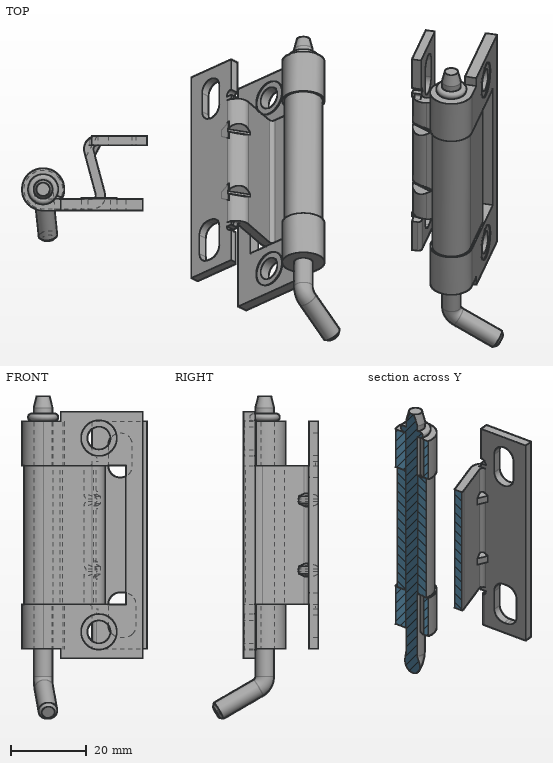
import cadquery as cq
import math


PIN_R = 2.5
PIN_TOP = 36.55
TIP_TOP_R = 1.75
TIP_HEIGHT = 3.0
COLLAR_TUBE_R = 1.0
COLLAR_RING_R = 3.0
HANDLE_BEND_Z = -37.22
HANDLE_BEND_R = 3.5
HANDLE_BEND_ANGLE = 60.0
HANDLE_LENGTH = 12.87
HANDLE_CHAMFER = 0.8
HANDLE_SWING = 6.0

FRAME_THICKNESS = 3.1
FRAME_R = PIN_R + FRAME_THICKNESS
FRAME_HEIGHT = 65.0
FRAME_RIGHT = 26.25
FRAME_STEP_X = 4.6
KNUCKLE_END_Z = 30.0
WINDOW_HEIGHT = 36.5
WINDOW_RIGHT = 21.8
CURL_END_ANGLE = -24.0

BUSHING_R = 4.7
BUSHING_BORE_R = 3.0
BUSHING_X = 14.7
BUSHING_Z = 25.5
BUSHING_OFFSET = 0.25

LEAF_THICKNESS = 2.5
LEAF_R = 5.1
LEAF_BEND_IN_R = 1.0
LEAF_BEND_OUT_R = LEAF_BEND_IN_R + LEAF_THICKNESS
LEAF_LEAN = 15.0
FRONT_BEND_X = 12.85
FLANGE_BACK_Y = 14.1
FLANGE_RIGHT = 27.4
TAB_LEFT = FRONT_BEND_X
TAB_FOOT_R = 0.75
FOOT_MARGIN = 0.05
NOTCH_RISE = 1.15
NOTCH_R = 1.55
TAB_EDGE_FILLET = 1.1

SLOT_LEFT = 17.2
SLOT_CORNER_R = 3.1
SLOT_NEAR_Z = 15.15
SLOT_FAR_Z = 26.9
WIDE_SLOT_WIDTH = 7.2

GUSSET_Z = 9.25
GUSSET_ANGLE = -28.0
GUSSET_WALL = 2.0
GUSSET_BAR_HALF_LENGTH = 6.0
GROOVE_FLOOR_DEPTH = 3.93
GROOVE_FLOOR_HALF = 0.35
GROOVE_MOUTH_HALF = 1.95
RIB_EXTRA_HALF = 0.6
GUSSET_DEPTH = 2.4


def polar(radius, degrees, center=(0.0, 0.0)):
    """Point at a radius and direction from a centre."""
    angle = math.radians(degrees)
    return (center[0] + radius * math.cos(angle), center[1] + radius * math.sin(angle))


def box(x0, x1, y0, y1, z0, z1):
    return cq.Workplane("XY").box(x1 - x0, y1 - y0, z1 - z0, centered=False).translate((x0, y0, z0))


def curled_strip():
    """Strip curled round the pin axis, running out into a flat plate at the front."""
    middle = (CURL_END_ANGLE + 270) / 2
    return (
        cq.Workplane("XY")
        .workplane(offset=-KNUCKLE_END_Z)
        .moveTo(*polar(PIN_R, CURL_END_ANGLE))
        .lineTo(*polar(FRAME_R, CURL_END_ANGLE))
        .threePointArc(polar(FRAME_R, middle), (0, -FRAME_R))
        .lineTo(FRAME_RIGHT, -FRAME_R)
        .lineTo(FRAME_RIGHT, -PIN_R)
        .lineTo(0, -PIN_R)
        .threePointArc(polar(PIN_R, middle), polar(PIN_R, CURL_END_ANGLE))
        .close()
        .extrude(2 * KNUCKLE_END_Z)
    )


def make_frame():
    half = FRAME_HEIGHT / 2
    plate = box(FRAME_STEP_X, FRAME_RIGHT, -FRAME_R, -PIN_R, -half, half)
    frame = curled_strip().union(plate)
    window = box(
        -2 * FRAME_R, WINDOW_RIGHT, -2 * FRAME_R, 2 * FRAME_R, -WINDOW_HEIGHT / 2, WINDOW_HEIGHT / 2
    )
    frame = frame.cut(window)
    for z in (-BUSHING_Z, BUSHING_Z):
        hole = cq.Workplane("XZ", origin=(BUSHING_X, 0, z)).circle(BUSHING_R).extrude(2 * FRAME_R)
        frame = frame.cut(hole)
    return frame


def make_bushing(z):
    rear_y = -PIN_R + BUSHING_OFFSET
    return (
        cq.Workplane("XZ", origin=(BUSHING_X, rear_y, z))
        .circle(BUSHING_R)
        .circle(BUSHING_BORE_R)
        .extrude(FRAME_THICKNESS)
    )


def make_pin():
    ring_offset = COLLAR_RING_R - PIN_R
    collar_rise = math.sqrt(COLLAR_TUBE_R**2 - ring_offset**2)
    collar_z = KNUCKLE_END_Z + COLLAR_TUBE_R
    shank = (
        cq.Workplane("XZ")
        .moveTo(0, HANDLE_BEND_Z)
        .lineTo(PIN_R, HANDLE_BEND_Z)
        .lineTo(PIN_R, collar_z - collar_rise)
        .threePointArc((COLLAR_RING_R + COLLAR_TUBE_R, collar_z), (PIN_R, collar_z + collar_rise))
        .lineTo(PIN_R, PIN_TOP - TIP_HEIGHT)
        .lineTo(TIP_TOP_R, PIN_TOP)
        .lineTo(0, PIN_TOP)
        .close()
        .revolve(360, (0, 0, 0), (0, 1, 0))
    )
    bend_center = (-HANDLE_BEND_R, HANDLE_BEND_Z)
    bend_end = polar(HANDLE_BEND_R, -HANDLE_BEND_ANGLE, bend_center)
    handle_end = polar(HANDLE_LENGTH, -90 - HANDLE_BEND_ANGLE, bend_end)
    path = (
        cq.Workplane("YZ")
        .moveTo(0, HANDLE_BEND_Z)
        .threePointArc(polar(HANDLE_BEND_R, -HANDLE_BEND_ANGLE / 2, bend_center), bend_end)
        .lineTo(*handle_end)
    )
    handle = (
        cq.Workplane("XY", origin=(0, 0, HANDLE_BEND_Z))
        .circle(PIN_R)
        .sweep(path)
        .faces("<Y")
        .chamfer(HANDLE_CHAMFER)
        .rotate((0, 0, 0), (0, 0, 1), HANDLE_SWING)
    )
    return shank.union(handle)


FRONT_BEND = (FRONT_BEND_X, -LEAF_R + LEAF_BEND_OUT_R)
REAR_BEND_Y = FLANGE_BACK_Y - LEAF_BEND_OUT_R
LEAN = math.radians(LEAF_LEAN)
REAR_BEND_X = FRONT_BEND_X + (
    LEAF_BEND_IN_R + LEAF_BEND_OUT_R - (REAR_BEND_Y - FRONT_BEND[1]) * math.sin(LEAN)
) / math.cos(LEAN)
REAR_BEND = (REAR_BEND_X, REAR_BEND_Y)
FLANGE_FRONT_Y = FLANGE_BACK_Y - LEAF_THICKNESS
WEB_END_Z = WINDOW_HEIGHT / 2


def leaf_knuckle():
    """Closed knuckle on the pin with a plate tangent to its front."""
    plate = box(0, FRONT_BEND_X, -LEAF_R, -LEAF_R + LEAF_THICKNESS, -WEB_END_Z, WEB_END_Z)
    barrel = cq.Workplane("XY").circle(LEAF_R).extrude(WEB_END_Z, both=True)
    bore = cq.Workplane("XY").circle(PIN_R).extrude(WEB_END_Z, both=True)
    return barrel.union(plate).cut(bore)


def bent_web():
    """Both bends, the leaning web between them and the flange, as one strip."""
    front_mid = (LEAF_LEAN - 90) / 2
    rear_mid = (90 + 180 + LEAF_LEAN) / 2
    return (
        cq.Workplane("XY")
        .workplane(offset=-WEB_END_Z)
        .moveTo(*polar(LEAF_BEND_OUT_R, -90, FRONT_BEND))
        .threePointArc(
            polar(LEAF_BEND_OUT_R, front_mid, FRONT_BEND), polar(LEAF_BEND_OUT_R, LEAF_LEAN, FRONT_BEND)
        )
        .lineTo(*polar(LEAF_BEND_IN_R, 180 + LEAF_LEAN, REAR_BEND))
        .threePointArc(
            polar(LEAF_BEND_IN_R, rear_mid, REAR_BEND), polar(LEAF_BEND_IN_R, 90, REAR_BEND)
        )
        .lineTo(FLANGE_RIGHT, FLANGE_FRONT_Y)
        .lineTo(FLANGE_RIGHT, FLANGE_BACK_Y)
        .lineTo(REAR_BEND_X, FLANGE_BACK_Y)
        .threePointArc(
            polar(LEAF_BEND_OUT_R, rear_mid, REAR_BEND),
            polar(LEAF_BEND_OUT_R, 180 + LEAF_LEAN, REAR_BEND),
        )
        .lineTo(*polar(LEAF_BEND_IN_R, LEAF_LEAN, FRONT_BEND))
        .threePointArc(
            polar(LEAF_BEND_IN_R, front_mid, FRONT_BEND), polar(LEAF_BEND_IN_R, -90, FRONT_BEND)
        )
        .close()
        .extrude(2 * WEB_END_Z)
    )


def flange_tab(side):
    """Flange tab, above (side 1) or below (side -1) the web.

    It has a concave foot on the web and a relief notch beside the bend.
    """
    web_end = side * WEB_END_Z
    foot_end = side * (WEB_END_Z + TAB_FOOT_R)
    foot_start = TAB_LEFT - TAB_FOOT_R
    notch_floor = side * (WEB_END_Z + NOTCH_RISE)
    notch_end = side * (WEB_END_Z + NOTCH_RISE + NOTCH_R)
    tab_end = side * KNUCKLE_END_Z
    tab = (
        cq.Workplane("XZ", origin=(0, FLANGE_BACK_Y, 0))
        .moveTo(FLANGE_RIGHT, web_end)
        .lineTo(foot_start, web_end)
        .threePointArc(polar(TAB_FOOT_R, -45 * side, (foot_start, foot_end)), (TAB_LEFT, foot_end))
        .lineTo(TAB_LEFT, notch_floor)
        .lineTo(TAB_LEFT + NOTCH_R, notch_floor)
        .threePointArc(polar(NOTCH_R, 45 * side, (TAB_LEFT, notch_floor)), (TAB_LEFT, notch_end))
        .lineTo(TAB_LEFT, tab_end)
        .lineTo(FLANGE_RIGHT, tab_end)
        .close()
        .extrude(LEAF_THICKNESS)
    )
    bend_back = REAR_BEND_Y + math.sqrt(LEAF_BEND_OUT_R**2 - (REAR_BEND_X - foot_start) ** 2)
    behind_foot = box(
        foot_start,
        TAB_LEFT,
        bend_back - FOOT_MARGIN,
        FLANGE_BACK_Y,
        min(web_end, foot_end),
        max(web_end, foot_end),
    )
    return tab.cut(behind_foot)


def narrow_slot():
    """Cutter for the upright slot with round ends in the upper tab."""
    length = SLOT_FAR_Z - SLOT_NEAR_Z
    center = (SLOT_LEFT + SLOT_CORNER_R, FLANGE_BACK_Y, SLOT_NEAR_Z + length / 2)
    return cq.Workplane("XZ", origin=center).slot2D(length, 2 * SLOT_CORNER_R, 90).extrude(LEAF_THICKNESS)


def wide_slot():
    """Cutter for the wider slot with round corners in the lower tab."""
    slot = box(
        SLOT_LEFT,
        SLOT_LEFT + WIDE_SLOT_WIDTH,
        FLANGE_FRONT_Y,
        FLANGE_BACK_Y,
        -SLOT_FAR_Z,
        -SLOT_NEAR_Z,
    )
    return slot.edges("|Y").fillet(SLOT_CORNER_R)


BEND_TANGENT = LEAF_BEND_OUT_R / math.tan(math.radians((90 - LEAF_LEAN) / 2))
GUSSET_CORNER = (REAR_BEND_X - BEND_TANGENT, FLANGE_BACK_Y)
GUSSET_NORMAL = cq.Vector(*polar(1, GUSSET_ANGLE), 0)


def gusset_bar(tip_distance, extra_half_width, z):
    """Bar of trapezoid section across the bend, its narrow side facing into the corner."""
    tip = cq.Vector(*GUSSET_CORNER, z) + GUSSET_NORMAL * tip_distance
    tip_half = GROOVE_FLOOR_HALF + extra_half_width
    base_half = GROOVE_MOUTH_HALF + extra_half_width
    return (
        cq.Workplane(cq.Plane(tip, GUSSET_NORMAL, GUSSET_NORMAL.cross(cq.Vector(0, 0, 1))))
        .moveTo(0, -tip_half)
        .lineTo(0, tip_half)
        .lineTo(-GUSSET_DEPTH, base_half)
        .lineTo(-GUSSET_DEPTH, -base_half)
        .close()
        .extrude(GUSSET_BAR_HALF_LENGTH, both=True)
    )


def bend_corner(depth):
    """Triangular prism filling the rear bend's corner to a depth square to the gusset."""
    web_angle = LEAF_LEAN - 90
    web_reach = depth / math.cos(math.radians(web_angle - GUSSET_ANGLE))
    flange_reach = depth / math.cos(math.radians(GUSSET_ANGLE))
    return (
        cq.Workplane("XY")
        .workplane(offset=-WEB_END_Z)
        .moveTo(*GUSSET_CORNER)
        .lineTo(*polar(web_reach, web_angle, GUSSET_CORNER))
        .lineTo(*polar(flange_reach, 0, GUSSET_CORNER))
        .close()
        .extrude(2 * WEB_END_Z)
    )


def make_swing_leaf():
    front_edge = cq.selectors.NearestToPointSelector((TAB_LEFT, FLANGE_FRONT_Y, -BUSHING_Z))
    lower_tab = flange_tab(-1).edges("|Z").edges(front_edge).fillet(TAB_EDGE_FILLET)
    leaf = bent_web().union(flange_tab(1)).union(lower_tab).union(leaf_knuckle())
    leaf = leaf.cut(narrow_slot()).cut(wide_slot())
    for z in (-GUSSET_Z, GUSSET_Z):
        rib_depth = GROOVE_FLOOR_DEPTH + GUSSET_WALL
        rib = gusset_bar(rib_depth, RIB_EXTRA_HALF, z).intersect(bend_corner(rib_depth))
        groove = gusset_bar(GROOVE_FLOOR_DEPTH, 0, z)
        leaf = leaf.union(rib).cut(groove)
    return leaf


frame = make_frame()
swing_leaf = make_swing_leaf()
pin = make_pin()
bushings = [make_bushing(z) for z in (-BUSHING_Z, BUSHING_Z)]

result = cq.Compound.makeCompound(
    [frame.val(), swing_leaf.val(), pin.val(), *[bushing.val() for bushing in bushings]]
)